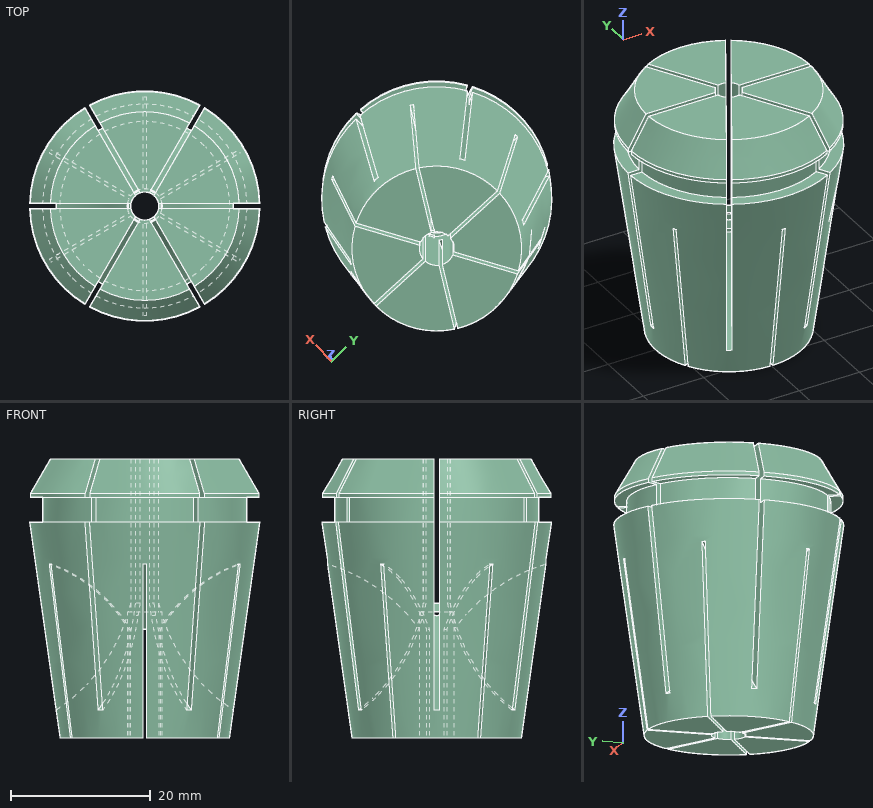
import cadquery as cq
import math

height = 40.0
body_diameter = 33.0
taper_angle = 8.0
body_top = 30.95
groove_top = 34.5
groove_radius = 14.65
rim_radius = 16.4
rim_top = 35.05
nose_radius = 13.5

bore_radius = 2.0
relief_radius = 2.5
relief_depth = 18.1

slot_count = 6
upper_slot_width = 0.75
upper_slot_outer_z = 4.0
upper_slot_bore_z = 19.35
lower_slot_width = 0.5
lower_slot_outer_z = 24.95
lower_slot_relief_z = 15.6
saw_radius = 25.0
clearance = 2.0

body_radius = body_diameter / 2


def cone_radius(z):
    return body_radius - (body_top - z) * math.tan(math.radians(taper_angle))


def make_body():
    profile = (
        cq.Workplane("XZ")
        .lineTo(cone_radius(0), 0)
        .lineTo(body_radius, body_top)
        .lineTo(groove_radius, body_top)
        .lineTo(groove_radius, groove_top)
        .lineTo(rim_radius, groove_top)
        .lineTo(rim_radius, rim_top)
        .lineTo(nose_radius, height)
        .lineTo(0, height)
        .close()
    )
    return profile.revolve(360, (0, 0, 0), (0, 1, 0))


def make_bore():
    bore = cq.Workplane("XY").circle(bore_radius).extrude(height)
    relief = cq.Workplane("XY").circle(relief_radius).extrude(relief_depth)
    return bore.union(relief)


def slot_cutter(inner, outer, open_z, width):
    """Radial slot from open_z to an arc joining the (radius, z) points inner and outer."""
    dx = outer[0] - inner[0]
    dz = outer[1] - inner[1]
    chord = math.hypot(dx, dz)
    sagitta = saw_radius - math.sqrt(saw_radius**2 - (chord / 2) ** 2)
    side = math.copysign(sagitta / chord, open_z - outer[1])
    middle = (
        (inner[0] + outer[0]) / 2 + side * dz,
        (inner[1] + outer[1]) / 2 - side * dx,
    )
    far_radius = body_radius + clearance
    return (
        cq.Workplane("XZ")
        .moveTo(0, open_z)
        .lineTo(0, inner[1])
        .lineTo(*inner)
        .threePointArc(middle, outer)
        .lineTo(far_radius, outer[1])
        .lineTo(far_radius, open_z)
        .close()
        .extrude(width / 2, both=True)
    )


def cut_slots(part, cutter, start_angle):
    for index in range(slot_count):
        angle = start_angle + index * 360 / slot_count
        part = part.cut(cutter.rotate((0, 0, 0), (0, 0, 1), angle))
    return part


upper_slot = slot_cutter(
    (bore_radius, upper_slot_bore_z),
    (cone_radius(upper_slot_outer_z), upper_slot_outer_z),
    height + clearance,
    upper_slot_width,
)
lower_slot = slot_cutter(
    (relief_radius, lower_slot_relief_z),
    (cone_radius(lower_slot_outer_z), lower_slot_outer_z),
    -clearance,
    lower_slot_width,
)

result = make_body().cut(make_bore())
result = cut_slots(result, upper_slot, 0)
result = cut_slots(result, lower_slot, 180 / slot_count)